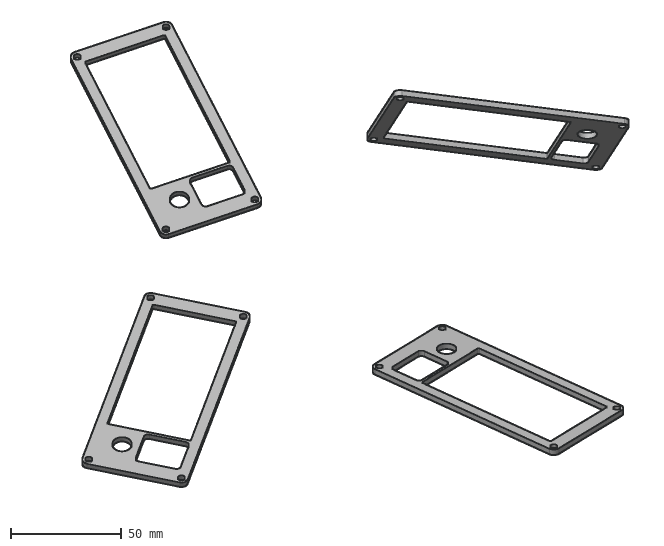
import cadquery as cq

plate_length = 110.6
plate_width = 49.5
plate_thickness = 3.0
plate_corner_radius = 3.0

mount_hole_diameter = 3.2
mount_hole_inset = plate_corner_radius

windows_top = 19.6

main_window_left = -48.4
main_window_right = 28.8
main_window_width = 39.3
main_window_corner_radius = 0.5

web_thickness = 1.4
side_window_left = main_window_right + web_thickness
side_window_length = 17.4
side_window_width = 21.1
side_window_corner_radius = 2.0

round_opening_diameter = 8.8
round_opening_x = 39.3
round_opening_y = -9.7


def make_plate():
    """Flat plate with rounded vertical corners, centred on the origin."""
    return (
        cq.Workplane("XY")
        .box(plate_length, plate_width, plate_thickness)
        .edges("|Z")
        .fillet(plate_corner_radius)
    )


def window_cutter(left, top, length, width, corner_radius):
    """Rounded rectangular block used to cut a window through the plate."""
    return (
        cq.Workplane("XY")
        .box(length, width, plate_thickness)
        .edges("|Z")
        .fillet(corner_radius)
        .translate((left + length / 2, top - width / 2, 0))
    )


main_window = window_cutter(
    main_window_left,
    windows_top,
    main_window_right - main_window_left,
    main_window_width,
    main_window_corner_radius,
)
side_window = window_cutter(
    side_window_left,
    windows_top,
    side_window_length,
    side_window_width,
    side_window_corner_radius,
)

result = (
    make_plate()
    .cut(main_window)
    .cut(side_window)
    .faces(">Z")
    .workplane(origin=(0, 0, 0))
    .rect(
        plate_length - 2 * mount_hole_inset,
        plate_width - 2 * mount_hole_inset,
        forConstruction=True,
    )
    .vertices()
    .hole(mount_hole_diameter)
    .faces(">Z")
    .workplane(origin=(0, 0, 0))
    .center(round_opening_x, round_opening_y)
    .hole(round_opening_diameter)
)